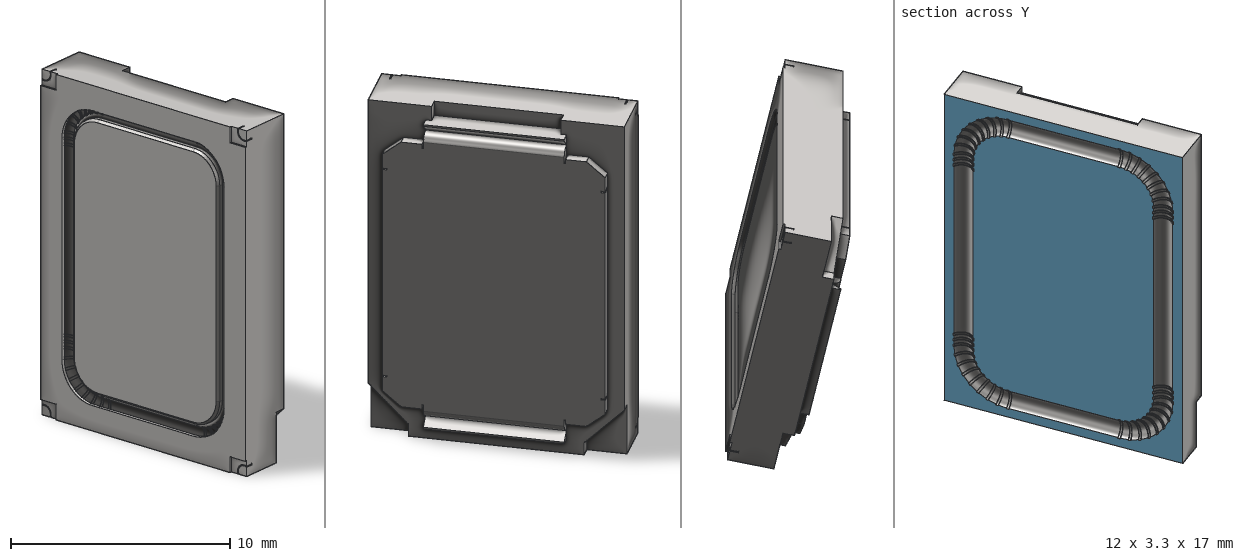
import cadquery as cq
import math

WIDTH = 12.0
HEIGHT = 17.0
TOTAL_DEPTH = 3.3
YOKE_RISE = 0.5
FRONT_Y = -TOTAL_DEPTH / 2
OUTER_Y = TOTAL_DEPTH / 2
BACK_Y = OUTER_Y - YOKE_RISE

WINDOW_WIDTH = 9.5
WINDOW_HEIGHT = 14.5
WINDOW_RADIUS = 1.8
WINDOW_DEPTH = 0.17

PLATE_OFFSET = 0.6
PLATE_RADIUS = 1.35
STEP_OFFSET = 0.48
BEVEL_DEPTH = 0.29
GROOVE_OFFSET = 0.27
GROOVE_RADIUS = 0.54
SHELF_DEPTH = 0.5
SHELF_CROWN = 0.025

RIB_WIDTH = 0.12
RIB_DEPTH = 0.04
RIBS_ON_CORNER = 9
RIBS_ON_SIDE = 2
RIB_PITCH = 0.3

PAD_WIDTH = 0.9
PAD_HEIGHT = 0.78
PAD_DEPTH = 0.1
PIN_DIAMETER = 0.8
PIN_INSET = 0.14
PIN_GAP = 0.05
PIN_DEPTH = 0.4

YOKE_HALF_WIDTH = 5.22
YOKE_HALF_HEIGHT = 6.77
YOKE_CHAMFER_X = 0.88
YOKE_CHAMFER_Z = 0.72
TAB_HALF_WIDTH = 3.3
TAB_HALF_HEIGHT = 7.78
TAB_LIP = 0.08
GROOVE_ROOT_Z = 7.27
ROUND_START_Z = 6.88
SLOT_WIDTH = 0.06
SLOT_DEPTH = 0.2
SIDE_SLOT_Z = 5.3

RECESS_DEPTH = 0.54
NOTCH_WIDTH = 6.05
POCKET_TOP = 2.5
POCKET_RUN = 1.88


def block(x0, x1, y0, y1, z0, z1):
    """Axis-aligned box given by its limits."""
    return cq.Workplane("XY").box(x1 - x0, y1 - y0, z1 - z0, centered=False).translate((x0, y0, z0))


def extrude_back(outline, y0, y1):
    """Extrude a closed polygon of (x, z) points from y0 to y1."""
    return cq.Workplane("XZ", origin=(0, y0, 0)).polyline(outline).close().extrude(y0 - y1)


def window_opening():
    """Rounded rectangular cutter for the membrane window."""
    return (
        cq.Workplane("XZ", origin=(0, FRONT_Y, 0))
        .rect(WINDOW_WIDTH, WINDOW_HEIGHT)
        .extrude(-WINDOW_DEPTH)
        .edges("|Y")
        .fillet(WINDOW_RADIUS)
    )


def window_path():
    """Closed path along the window sides, with corners concentric with the plate."""
    half_x = WINDOW_WIDTH / 2
    half_z = WINDOW_HEIGHT / 2
    radius = PLATE_RADIUS + PLATE_OFFSET
    straight_x = half_x - radius
    straight_z = half_z - radius
    mid_x = straight_x + radius * math.sqrt(0.5)
    mid_z = straight_z + radius * math.sqrt(0.5)
    return (
        cq.Workplane("XZ", origin=(0, FRONT_Y, 0))
        .moveTo(-half_x, 0)
        .lineTo(-half_x, straight_z)
        .threePointArc((-mid_x, mid_z), (-straight_x, half_z))
        .lineTo(straight_x, half_z)
        .threePointArc((mid_x, mid_z), (half_x, straight_z))
        .lineTo(half_x, -straight_z)
        .threePointArc((mid_x, -mid_z), (straight_x, -half_z))
        .lineTo(-straight_x, -half_z)
        .threePointArc((-mid_x, -mid_z), (-half_x, -straight_z))
        .close()
    )


def surround_groove():
    """Ring-shaped cutter: half-round groove under the lip, crowned shelf and plate step."""
    centre = GROOVE_OFFSET - GROOVE_RADIUS
    shelf_mid = (STEP_OFFSET + GROOVE_OFFSET) / 2
    outer_wall = centre - GROOVE_RADIUS
    section = (
        cq.Workplane("XY", origin=(-WINDOW_WIDTH / 2, FRONT_Y, 0))
        .moveTo(PLATE_OFFSET, WINDOW_DEPTH)
        .lineTo(STEP_OFFSET, BEVEL_DEPTH)
        .lineTo(STEP_OFFSET, SHELF_DEPTH)
        .threePointArc((shelf_mid, SHELF_DEPTH - SHELF_CROWN), (GROOVE_OFFSET, SHELF_DEPTH))
        .threePointArc((centre, SHELF_DEPTH + GROOVE_RADIUS), (outer_wall, SHELF_DEPTH))
        .lineTo(outer_wall, WINDOW_DEPTH)
        .close()
    )
    return section.sweep(window_path())


def corrugation(turn, drop):
    """Half-disc cutter across the groove at the upper +X corner.

    It is turned about the corner centre from +X towards +Z, then lowered along Z.
    """
    corner_radius = PLATE_RADIUS + PLATE_OFFSET
    corner_x = WINDOW_WIDTH / 2 - corner_radius
    corner_z = WINDOW_HEIGHT / 2 - corner_radius
    disc_x = corner_radius - GROOVE_OFFSET + GROOVE_RADIUS
    disc_radius = GROOVE_RADIUS + RIB_DEPTH
    shelf_y = FRONT_Y + SHELF_DEPTH
    half_disc = (
        cq.Workplane("XY", origin=(disc_x, shelf_y, -RIB_WIDTH / 2))
        .moveTo(-disc_radius, 0)
        .threePointArc((0, disc_radius), (disc_radius, 0))
        .close()
        .extrude(RIB_WIDTH)
    )
    turned = half_disc.rotate((0, 0, 0), (0, 1, 0), -turn)
    return turned.translate((corner_x, 0, corner_z - drop))


def corner_corrugations():
    """Cutters for the corrugations of all four window corners."""
    step = 90 / (RIBS_ON_CORNER - 1)
    ribs = [corrugation(index * step, 0) for index in range(RIBS_ON_CORNER)]
    ribs += [corrugation(0, (index + 1) * RIB_PITCH) for index in range(RIBS_ON_SIDE)]
    ribs += [rib.mirror("YZ") for rib in ribs]
    ribs += [rib.mirror("XY") for rib in ribs]
    return ribs


def corner_pad(side_x, side_z):
    """Cutter for one corner: shallow pad plus the clearance ring of its pin."""
    corner_x = side_x * WIDTH / 2
    corner_z = side_z * HEIGHT / 2
    pad = cq.Workplane("XY").box(2 * PAD_WIDTH, 2 * PAD_DEPTH, 2 * PAD_HEIGHT)
    pad = pad.translate((corner_x, FRONT_Y, corner_z))
    pin_radius = PIN_DIAMETER / 2
    ring = (
        cq.Workplane("XZ", origin=(corner_x - side_x * PIN_INSET, FRONT_Y, corner_z - side_z * PIN_INSET))
        .circle(pin_radius)
        .circle(pin_radius - PIN_GAP)
        .extrude(-(PAD_DEPTH + PIN_DEPTH))
    )
    return pad.union(ring)


def yoke_plate():
    """Chamfered plate with a tab at each end and narrow relief slots."""
    chamfer_x = YOKE_HALF_WIDTH - YOKE_CHAMFER_X
    chamfer_z = YOKE_HALF_HEIGHT - YOKE_CHAMFER_Z
    outline = [
        (chamfer_x, YOKE_HALF_HEIGHT),
        (YOKE_HALF_WIDTH, chamfer_z),
        (YOKE_HALF_WIDTH, -chamfer_z),
        (chamfer_x, -YOKE_HALF_HEIGHT),
        (-chamfer_x, -YOKE_HALF_HEIGHT),
        (-YOKE_HALF_WIDTH, -chamfer_z),
        (-YOKE_HALF_WIDTH, chamfer_z),
        (-chamfer_x, YOKE_HALF_HEIGHT),
    ]
    plate = extrude_back(outline, BACK_Y, OUTER_Y)
    tabs = block(-TAB_HALF_WIDTH, TAB_HALF_WIDTH, BACK_Y, OUTER_Y, -TAB_HALF_HEIGHT, TAB_HALF_HEIGHT)
    plate = plate.union(tabs)

    tab_slot = cq.Workplane("XY").box(SLOT_WIDTH, YOKE_RISE, 2 * SLOT_DEPTH)
    side_slot = cq.Workplane("XY").box(2 * SLOT_DEPTH, YOKE_RISE, SLOT_WIDTH)
    slot_y = (BACK_Y + OUTER_Y) / 2
    slot_x = TAB_HALF_WIDTH + SLOT_WIDTH / 2
    for side_x in (-1, 1):
        for side_z in (-1, 1):
            plate = plate.cut(tab_slot.translate((side_x * slot_x, slot_y, side_z * YOKE_HALF_HEIGHT)))
            plate = plate.cut(side_slot.translate((side_x * YOKE_HALF_WIDTH, slot_y, side_z * SIDE_SLOT_Z)))

    groove = tab_groove()
    return plate.cut(groove).cut(groove.mirror("XY"))


def tab_groove():
    """Groove across the upper tab: one straight side and one rounded side."""
    blend = math.sqrt(0.5)
    round_mid_y = BACK_Y + YOKE_RISE * blend
    round_mid_z = ROUND_START_Z + (GROOVE_ROOT_Z - ROUND_START_Z) * blend
    return (
        cq.Workplane("YZ", origin=(-TAB_HALF_WIDTH, 0, 0))
        .moveTo(OUTER_Y, ROUND_START_Z)
        .threePointArc((round_mid_y, round_mid_z), (BACK_Y, GROOVE_ROOT_Z))
        .lineTo(OUTER_Y, TAB_HALF_HEIGHT - TAB_LIP)
        .close()
        .extrude(2 * TAB_HALF_WIDTH)
    )


def back_notch():
    """Cutter for the notch in the upper end, level with the end of the yoke tab."""
    half = NOTCH_WIDTH / 2
    return block(-half, half, BACK_Y - RECESS_DEPTH, BACK_Y, TAB_HALF_HEIGHT, HEIGHT / 2)


def corner_pocket():
    """Cutter for the pocket with a sloped wall in the lower -X back corner."""
    left = -WIDTH / 2
    bottom = -HEIGHT / 2
    outline = [
        (left, bottom),
        (left, bottom + POCKET_TOP),
        (left + POCKET_RUN, bottom + POCKET_TOP - POCKET_RUN),
        (left + POCKET_RUN, bottom),
    ]
    return extrude_back(outline, BACK_Y - RECESS_DEPTH, BACK_Y)


part = block(-WIDTH / 2, WIDTH / 2, FRONT_Y, BACK_Y, -HEIGHT / 2, HEIGHT / 2)
part = part.cut(back_notch())
pocket = corner_pocket()
part = part.cut(pocket).cut(pocket.mirror("YZ"))
part = part.union(yoke_plate())

part = part.cut(window_opening())
part = part.cut(surround_groove())
for rib in corner_corrugations():
    part = part.cut(rib)
for side_x in (-1, 1):
    for side_z in (-1, 1):
        part = part.cut(corner_pad(side_x, side_z))

result = part